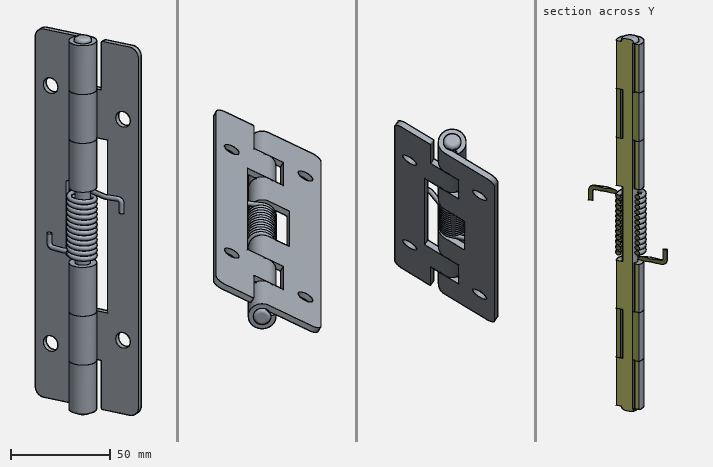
import cadquery as cq
import math


LEAF_WIDTH = 30.0
KNUCKLE_COUNT = 6
KNUCKLE_LENGTH = 26.5
SPRING_WINDOW = 40.8
LEAF_LENGTH = KNUCKLE_COUNT * KNUCKLE_LENGTH + SPRING_WINDOW
SHEET = 3.0
PIN_RADIUS = 8.0 / 2
BARREL_RADIUS = PIN_RADIUS + SHEET
ROLL_END_ANGLE = 34.0
ROLL_MIDDLE_ANGLE = -45.0
NOTCH_EDGE = 8.4
WINDOW_EDGE = 12.0
OUTER_CORNER = 5.0
INNER_CORNER = 1.0

HOLE_DIAMETER = 8.4
HOLE_X = 21.0
LEFT_HOLE_Z = 70.0
RIGHT_HOLE_Z = 60.0

OVERALL_LENGTH = 204.0
HEAD_HEIGHT = (OVERALL_LENGTH - LEAF_LENGTH) / 2
HEAD_RADIUS = 4.5
HEAD_FILLET = 1.94

WIRE_RADIUS = 1.25
JOINT_RADIUS = 1.26
COIL_DIAMETER = 15.5
COIL_RADIUS = COIL_DIAMETER / 2 - WIRE_RADIUS
OVERALL_DEPTH = 15.7
COIL_Y = BARREL_RADIUS - OVERALL_DEPTH + COIL_DIAMETER / 2
LEG_Z = 17.0
FULL_TURNS = 12
LEG_RISE_ANGLE = 20.0
LEG_RETURN_ANGLE = 7.0
CRANK_X = 12.0
CRANK_RADIUS = 5.0
HOOK_X = 21.0
HOOK_RADIUS = 2.2
HOOK_LENGTH = 7.3


def polar(radius, degrees):
    """Point at a radius and angle around the pin axis."""
    angle = math.radians(degrees)
    return (radius * math.cos(angle), radius * math.sin(angle))


def box_between(x0, x1, z0, z1):
    """Block through the full depth of the hinge, between two X and two Z values."""
    return cq.Workplane("XZ").center((x0 + x1) / 2, (z0 + z1) / 2).rect(x1 - x0, z1 - z0).extrude(
        OVERALL_DEPTH, both=True
    )


def rolled_sheet():
    """Leaf blank on the -X side: a flat sheet rolled round the pin over its full length."""
    lip = 180 - ROLL_END_ANGLE
    return (
        cq.Workplane("XY")
        .workplane(offset=-LEAF_LENGTH / 2)
        .moveTo(-LEAF_WIDTH, BARREL_RADIUS)
        .lineTo(0, BARREL_RADIUS)
        .threePointArc(polar(BARREL_RADIUS, ROLL_MIDDLE_ANGLE), polar(BARREL_RADIUS, lip))
        .lineTo(*polar(PIN_RADIUS, lip))
        .threePointArc(polar(PIN_RADIUS, ROLL_MIDDLE_ANGLE), (0, PIN_RADIUS))
        .lineTo(-LEAF_WIDTH, PIN_RADIUS)
        .close()
        .extrude(LEAF_LENGTH)
        .edges("|Y and <X")
        .fillet(OUTER_CORNER)
    )


def screw_holes(hole_z):
    """Two holes through the sheet of a leaf on the -X side."""
    return (
        cq.Workplane("XZ")
        .pushPoints([(-HOLE_X, hole_z), (-HOLE_X, -hole_z)])
        .circle(HOLE_DIAMETER / 2)
        .extrude(OVERALL_DEPTH, both=True)
    )


def make_pin():
    """Shaft between two rounded rivet heads."""
    half = LEAF_LENGTH / 2
    shaft = cq.Workplane("XY").circle(PIN_RADIUS).extrude(half, both=True)
    head = cq.Workplane("XY").workplane(offset=half).circle(HEAD_RADIUS).extrude(HEAD_HEIGHT)
    head = head.faces(">Z").edges().fillet(HEAD_FILLET)
    return shaft.union(head).union(head.mirror("XY"))


def make_left_leaf():
    """Leaf with the two outer and two inner knuckles, with the pin riveted into it."""
    leaf = rolled_sheet()
    half_window = SPRING_WINDOW / 2
    window = box_between(-WINDOW_EDGE, LEAF_WIDTH, -half_window, half_window)
    leaf = leaf.cut(window.edges("|Y and <X").fillet(INNER_CORNER))
    notch_start = half_window + KNUCKLE_LENGTH
    notch = box_between(-NOTCH_EDGE, LEAF_WIDTH, notch_start, notch_start + KNUCKLE_LENGTH)
    leaf = leaf.cut(notch).cut(notch.mirror("XY"))
    return leaf.cut(screw_holes(LEFT_HOLE_Z)).union(make_pin())


def make_right_leaf():
    """Leaf with the two middle knuckles, built on the -X side and mirrored."""
    leaf = rolled_sheet()
    knuckle_start = SPRING_WINDOW / 2 + KNUCKLE_LENGTH
    leaf = leaf.cut(box_between(-WINDOW_EDGE, LEAF_WIDTH, -knuckle_start, knuckle_start))
    notch = box_between(-NOTCH_EDGE, LEAF_WIDTH, knuckle_start + KNUCKLE_LENGTH, LEAF_LENGTH)
    leaf = leaf.cut(notch).cut(notch.mirror("XY"))
    end_corners = cq.selectors.BoxSelector(
        (-NOTCH_EDGE - INNER_CORNER, 0, -LEAF_LENGTH),
        (-NOTCH_EDGE + INNER_CORNER, BARREL_RADIUS, LEAF_LENGTH),
    )
    leaf = leaf.edges("|Y and (<Z or >Z)").edges(end_corners).fillet(INNER_CORNER)
    return leaf.cut(screw_holes(RIGHT_HOLE_Z)).mirror("YZ")


def bend(before, corner, after, radius):
    """Tangent arc at a corner of the wire, between the directions of two points, as an edge."""
    to_before = (before - corner).normalized()
    to_after = (after - corner).normalized()
    half_angle = to_before.getAngle(to_after) / 2
    reach = radius / math.tan(half_angle)
    inward = (to_before + to_after).normalized()
    middle = corner + inward * (radius / math.sin(half_angle) - radius)
    return cq.Edge.makeThreePointArc(corner + to_before * reach, middle, corner + to_after * reach)


def leg_edges():
    """Middle line of the upper leg, from the end of its hook to the coil."""
    rise = math.radians(LEG_RISE_ANGLE)
    coil_x = COIL_RADIUS * math.sin(rise)
    coil_end = cq.Vector(coil_x, COIL_Y + COIL_RADIUS * math.cos(rise), LEG_Z)
    crank_y = coil_end.y - (CRANK_X - coil_x) * math.tan(rise)
    crank = cq.Vector(CRANK_X, crank_y, LEG_Z)
    hook_y = crank_y + (HOOK_X - CRANK_X) * math.tan(math.radians(LEG_RETURN_ANGLE))
    hook = cq.Vector(HOOK_X, hook_y, LEG_Z)
    hook_end = hook - cq.Vector(0, 0, HOOK_LENGTH)
    hook_bend = bend(hook_end, hook, crank, HOOK_RADIUS)
    crank_bend = bend(hook, crank, coil_end, CRANK_RADIUS)
    return [
        cq.Edge.makeLine(hook_end, hook_bend.startPoint()),
        hook_bend,
        cq.Edge.makeLine(hook_bend.endPoint(), crank_bend.startPoint()),
        crank_bend,
        cq.Edge.makeLine(crank_bend.endPoint(), coil_end),
    ]


def drawn_wire(edges):
    """Round wire along joined edges, which meet smoothly."""
    path = cq.Wire.assembleEdges(edges)
    section = cq.Workplane(cq.Plane(edges[0].startPoint(), normal=edges[0].tangentAt(0)))
    return section.circle(WIRE_RADIUS).sweep(cq.Workplane(path), isFrenet=True)


def make_coil():
    """Left-handed coil that joins the two legs."""
    turns = FULL_TURNS + 2 * LEG_RISE_ANGLE / 360
    height = 2 * LEG_Z
    helix = cq.Wire.makeHelix(height / turns, height, COIL_RADIUS, lefthand=True)
    helix = helix.rotate(cq.Vector(0, 0, 0), cq.Vector(0, 0, 1), 90 + LEG_RISE_ANGLE)
    return drawn_wire(helix.translate(cq.Vector(0, COIL_Y, -LEG_Z)).Edges())


def make_spring():
    """Coil with two hooked legs; the lower leg is the upper one turned half round about the Y direction."""
    middle_line = leg_edges()
    joint = cq.Workplane("XY").sphere(JOINT_RADIUS).translate(middle_line[-1].endPoint())
    upper_leg = drawn_wire(middle_line).union(joint)
    lower_leg = upper_leg.rotate((0, 0, 0), (0, 1, 0), 180)
    return make_coil().union(upper_leg).union(lower_leg)


left_leaf = make_left_leaf()
right_leaf = make_right_leaf()
spring = make_spring()
result = cq.Compound.makeCompound([left_leaf.val(), right_leaf.val(), spring.val()])